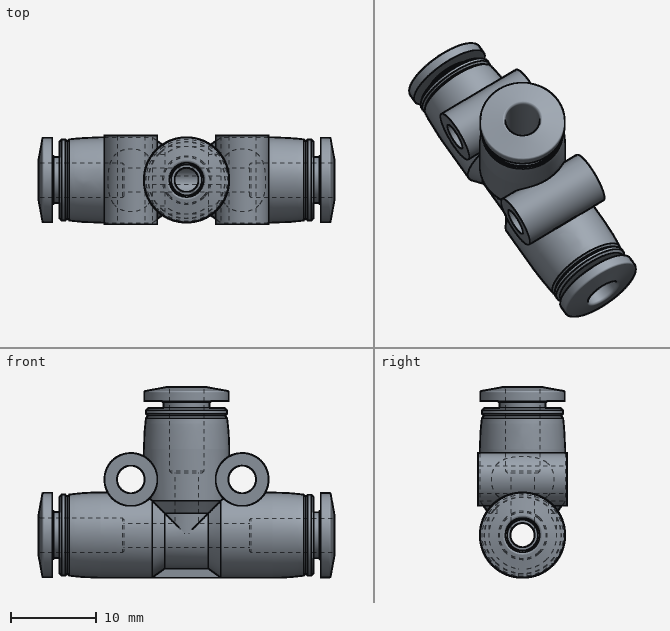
import cadquery as cq


port_reach = 17.3
button_diameter = 9.9
button_back = 15.65
button_face_rise = 0.45
button_edge_radius = 0.2
button_stem_diameter = 5.4
stem_root_fillet = 0.15

ring_diameter = 9.5
ring_front = 14.85
ring_chamfer = 0.3
groove_reach = 13.92
groove_depth = 0.25
collar_back = 13.05
collar_back_diameter = 9.65

body_diameter = 10.0
body_straight_end = 10.05
body_start = 4.02
waist_diameter = 7.9
waist_end = 2.56

tube_bore_diameter = 4.0
mouth_fillet = 0.3
tube_bore_depth = 10.0
tube_seat_diameter = 3.6
flow_bore_diameter = 2.8

lug_diameter = 6.2
lug_hole_diameter = 3.2
lug_length = 10.4
lug_offset = 6.5

web_thickness = 1.0


def revolve_port(profile):
    """Revolve a (radius, reach) profile in the XZ plane about the Z axis."""
    return profile.close().revolve(360, (0, 0, 0), (0, 1, 0))


def make_body():
    """Waist, body, collar, grooved ring and button stem of one port along +Z."""
    waist = waist_diameter / 2
    body = body_diameter / 2
    ring = ring_diameter / 2
    collar = collar_back_diameter / 2
    stem = button_stem_diameter / 2
    groove = ring - groove_depth
    profile = (
        cq.Workplane("XZ")
        .lineTo(waist, 0)
        .lineTo(waist, waist_end)
        .lineTo(body, body_start)
        .lineTo(body, body_straight_end)
        .tangentArcPoint((collar, collar_back), relative=False)
        .lineTo(ring, groove_reach - groove_depth)
        .lineTo(groove, groove_reach)
        .lineTo(ring, groove_reach + groove_depth)
        .lineTo(ring, ring_front - ring_chamfer)
        .lineTo(ring - ring_chamfer, ring_front)
        .lineTo(stem, ring_front)
        .lineTo(stem, button_back)
        .lineTo(0, button_back)
    )
    return revolve_port(profile)


def make_button():
    """Release button with a conical face, a rounded rim and a filleted root."""
    rim = button_diameter / 2
    mouth = tube_bore_diameter / 2 + mouth_fillet
    stem = button_stem_diameter / 2
    rim_shoulder = port_reach - button_face_rise
    profile = (
        cq.Workplane("XZ")
        .moveTo(0, button_back - stem_root_fillet)
        .lineTo(stem, button_back - stem_root_fillet)
        .tangentArcPoint((stem + stem_root_fillet, button_back), relative=False)
        .lineTo(rim, button_back)
        .lineTo(rim, rim_shoulder - button_edge_radius)
        .tangentArcPoint((rim - button_edge_radius, rim_shoulder), relative=False)
        .lineTo(mouth, port_reach)
        .lineTo(0, port_reach)
    )
    return revolve_port(profile)


def make_bore():
    """Cutter for one port: rounded mouth, tube bore, tapered seat and flow bore."""
    tube = tube_bore_diameter / 2
    seat = tube_seat_diameter / 2
    flow = flow_bore_diameter / 2
    floor = port_reach - tube_bore_depth
    profile = (
        cq.Workplane("XZ")
        .lineTo(flow, 0)
        .lineTo(flow, floor)
        .lineTo(seat, floor)
        .lineTo(tube, floor + tube - seat)
        .lineTo(tube, port_reach - mouth_fillet)
        .tangentArcPoint((tube + mouth_fillet, port_reach), relative=False)
        .lineTo(0, port_reach)
    )
    return revolve_port(profile)


def on_all_ports(shape):
    """Copy a +Z port shape onto the +X and -X ports and join the three."""
    ports = shape
    for tilt in (90, -90):
        ports = ports.union(shape.rotate((0, 0, 0), (0, 1, 0), tilt))
    return ports


def lug_cylinders(diameter):
    """Pair of cylinders along Y in the corners between the ports."""
    return (
        cq.Workplane("XZ", origin=(0, lug_length / 2, 0))
        .pushPoints([(-lug_offset, lug_offset), (lug_offset, lug_offset)])
        .circle(diameter / 2)
        .extrude(lug_length)
    )


def make_web():
    """Upright plate from the tee axis down to the underside of the body."""
    web_height = body_diameter / 2
    return cq.Workplane("XY").box(
        2 * body_start, web_thickness, web_height, centered=(True, True, False)
    ).translate((0, 0, -web_height))


result = on_all_ports(make_body().union(make_button()))
result = result.union(make_web())
result = result.union(lug_cylinders(lug_diameter))
result = result.cut(on_all_ports(make_bore()))
result = result.cut(lug_cylinders(lug_hole_diameter))